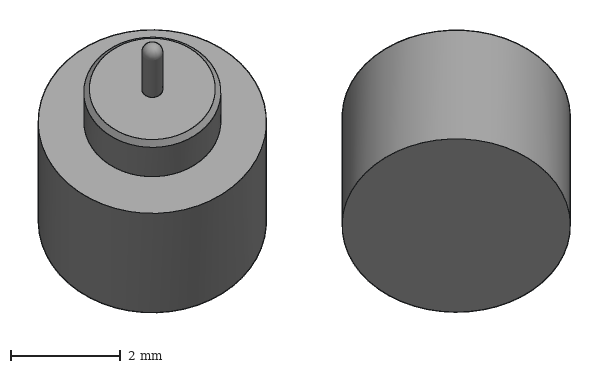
import cadquery as cq

total_height = 5.35
body_diameter = 4.16
body_height = 3.05
boss_diameter = 2.5
boss_height = 1.0
boss_chamfer = 0.1
pin_diameter = 0.385
pin_tip_radius = 0.17

pin_height = total_height - body_height - boss_height

body = cq.Workplane("XY").circle(body_diameter / 2).extrude(body_height)

boss = (
    cq.Workplane("XY", origin=(0, 0, body_height))
    .circle(boss_diameter / 2)
    .extrude(boss_height)
    .faces(">Z")
    .chamfer(boss_chamfer)
)

pin = (
    cq.Workplane("XY", origin=(0, 0, body_height + boss_height))
    .circle(pin_diameter / 2)
    .extrude(pin_height)
    .faces(">Z")
    .edges()
    .fillet(pin_tip_radius)
)

result = body.union(boss).union(pin)